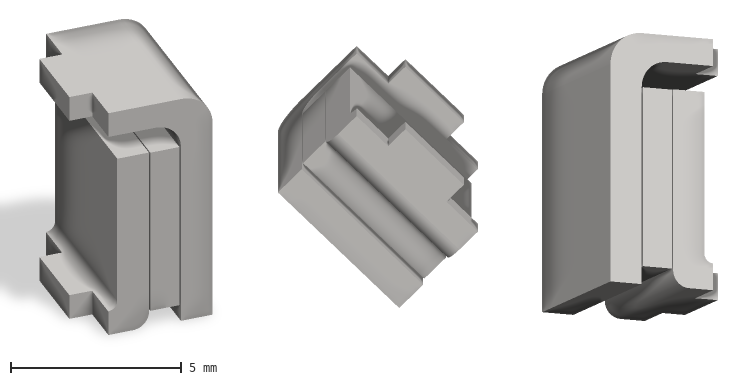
import cadquery as cq

WIDTH = 5.0
DEPTH = 4.0
HEIGHT = 7.5

WALL = 1.0
FLANGE = 0.8
TAB_LENGTH = 0.72
TAB_WIDTH = 2.41
SHOULDER_WIDTH = (WIDTH - TAB_WIDTH) / 2

REAR_OUTER_RADIUS = 1.0
REAR_INNER_RADIUS = 0.8

FRONT_HEIGHT = 5.9
FRONT_WALL_Y = 1.0
FRONT_OUTER_RADIUS = 0.5
FRONT_INNER_RADIUS = 0.285

CORE_THICKNESS = 0.915
CORE_HEIGHT = 5.35
CORE_BOTTOM = 0.54
REAR_WALL_Y = DEPTH - WALL
CORE_Y = (REAR_WALL_Y + FRONT_WALL_Y + WALL - CORE_THICKNESS) / 2


def box(width, depth, height, y, z):
    """Box centred on X with its lowest Y and Z corner at (y, z)."""
    return cq.Workplane("XY").box(width, depth, height, centered=(True, False, False)).translate((0, y, z))


def make_bracket(wall_y, height, flange_z, inner_z, outer_z, inner_radius, outer_radius):
    """L-shaped bracket: upright wall, flange narrowed to a tab, rounded bend."""
    wall = box(WIDTH, WALL, height, wall_y, 0)
    flange = box(WIDTH, wall_y + WALL, FLANGE, 0, flange_z)
    bracket = wall.union(flange)

    bracket = bracket.edges(cq.NearestToPointSelector((0, wall_y, inner_z))).fillet(inner_radius)
    bracket = bracket.edges(cq.NearestToPointSelector((0, wall_y + WALL, outer_z))).fillet(outer_radius)

    for side in (-1, 1):
        shoulder = box(SHOULDER_WIDTH, TAB_LENGTH, FLANGE, 0, flange_z)
        bracket = bracket.cut(shoulder.translate((side * (TAB_WIDTH + SHOULDER_WIDTH) / 2, 0, 0)))
    return bracket


rear_bracket = make_bracket(
    REAR_WALL_Y, HEIGHT, HEIGHT - FLANGE, HEIGHT - FLANGE, HEIGHT, REAR_INNER_RADIUS, REAR_OUTER_RADIUS
)
front_bracket = make_bracket(
    FRONT_WALL_Y, FRONT_HEIGHT, 0, FLANGE, 0, FRONT_INNER_RADIUS, FRONT_OUTER_RADIUS
)
core_plate = box(WIDTH, CORE_THICKNESS, CORE_HEIGHT, CORE_Y, CORE_BOTTOM)

result = cq.Compound.makeCompound([rear_bracket.val(), front_bracket.val(), core_plate.val()])